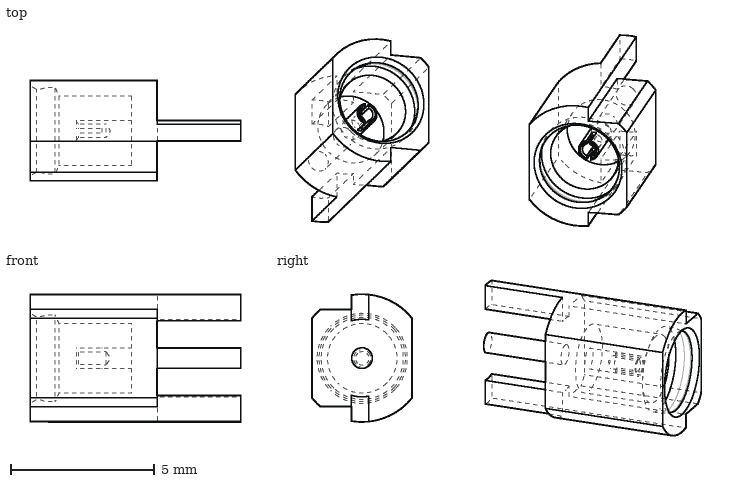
import cadquery as cq

total_length = 7.37
body_length = 4.445
body_diameter = 4.47
body_width = 3.51
block_height = 3.4
shoulder_y = -0.37

mouth_radius = 1.58
throat_radius = 1.44
groove_radius = 1.51
bore_radius = 1.215
mouth_end = 0.22
throat_end = 0.29
groove_start = 0.55
groove_end = 0.87
bore_start = 1.0
bore_depth = 3.54

leg_back_y = 0.23
leg_inner_radius = 1.355

pin_radius = 0.36
pin_tip_x = 1.62
pin_hole_radius = 0.235
pin_mouth_radius = 0.3
pin_mouth_depth = 0.07
pin_hole_depth = 1.03
pin_cone_depth = 0.15
pin_slot_width = 0.15
pin_slot_depth = 0.885


def box_between(x_range, y_range, z_range):
    """Box spanning the given (low, high) ranges."""
    sizes = [high - low for low, high in (x_range, y_range, z_range)]
    corner = (x_range[0], y_range[0], z_range[0])
    return cq.Workplane("XY").box(*sizes, centered=False).translate(corner)


def cylinder_x(radius, start, end):
    """Solid cylinder on the X axis from start to end."""
    return cq.Workplane("YZ", origin=(start, 0, 0)).circle(radius).extrude(end - start)


def revolve_x(profile):
    """Solid turned about the X axis from (x, radius) points."""
    return cq.Workplane("XY").polyline(profile).close().revolve(360, (0, 0, 0), (1, 0, 0))


def make_body():
    """Round bar with two side flats and a block of reduced height at the front."""
    half_width = body_width / 2
    half_height = body_diameter / 2
    half_block = block_height / 2
    length = (0, body_length)
    back = box_between(length, (shoulder_y, half_width), (-half_height, half_height))
    front = box_between(length, (-half_width, shoulder_y), (-half_block, half_block))
    return cylinder_x(body_diameter / 2, 0, body_length).intersect(back.union(front))


def make_bore():
    """Turned socket cavity with a flared mouth and an internal groove."""
    return revolve_x([
        (0, 0),
        (0, mouth_radius),
        (mouth_end, throat_radius),
        (throat_end, throat_radius),
        (groove_start, groove_radius),
        (groove_end, groove_radius),
        (bore_start, bore_radius),
        (bore_depth, bore_radius),
        (bore_depth, 0),
    ])


def make_legs():
    """Two rear legs, rounded outside like the body and hollowed inside."""
    half_height = body_diameter / 2
    slab = box_between((body_length, total_length), (shoulder_y, leg_back_y), (-half_height, half_height))
    outer = cylinder_x(half_height, body_length, total_length)
    inner = cylinder_x(leg_inner_radius, body_length, total_length)
    return slab.intersect(outer).cut(inner)


def make_pin():
    """Centre contact with a drilled, countersunk and slotted tip."""
    hole_end = pin_tip_x + pin_hole_depth
    hole = revolve_x([
        (pin_tip_x, 0),
        (pin_tip_x, pin_mouth_radius),
        (pin_tip_x + pin_mouth_depth, pin_hole_radius),
        (hole_end, pin_hole_radius),
        (hole_end + pin_cone_depth, 0),
    ])
    slot = box_between(
        (pin_tip_x, pin_tip_x + pin_slot_depth),
        (-pin_slot_width / 2, pin_slot_width / 2),
        (-pin_radius, pin_radius),
    )
    return cylinder_x(pin_radius, pin_tip_x, total_length).cut(hole).cut(slot)


shell = make_body().cut(make_bore())
result = shell.union(make_legs()).union(make_pin())